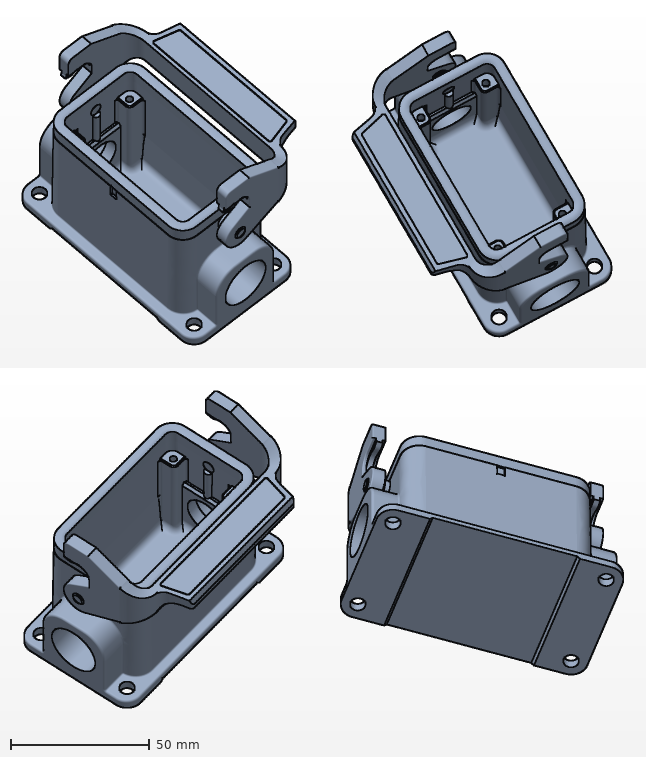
import cadquery as cq
import math

FLANGE_LENGTH = 94.0
FLANGE_WIDTH = 52.0
FLANGE_HEIGHT = 3.95
FLANGE_CORNER_RADIUS = 6.2
EDGE_RADIUS = 0.9
FOOT_RADIUS = 0.7
SCREW_HOLE_DIAMETER = 5.6
RELIEF_LENGTH = 57.3
RELIEF_HEIGHT = 1.0

BODY_LENGTH = 72.4
BODY_WIDTH = 43.0
BODY_CORNER_RADIUS = 7.3
BODY_DRAFT = 0.6
DRAFT_LINE_Z = 47.9
BAND_STEP = 0.1
RIM_TOP_Z = 54.05
RIM_CROWN = 0.6
WALL = 4.0

NOTCH_WIDTH = 3.1
NOTCH_HEIGHT = 5.0
NOTCH_DEPTH = 0.8

BOSS_HALF_WIDTH = 14.4
BOSS_TOP_Z = 31.5
BOSS_CORNER_RADIUS = 10.1
ENTRY_Z = 16.9
ENTRY_DIAMETER = 20.0
ENTRY_BOTTOM_X = 34.8
WALL_HOLE_DIAMETER = 16.0

FLOOR_Z = 4.2
FLOOR_RADIUS = 3.0
CAVITY_DRAFT = 0.5
LOWER_WALL_Z = 21.1
LOWER_WALL_DRAFT = 2.0
CAVITY_LEAN = (DRAFT_LINE_Z - LOWER_WALL_Z) * math.tan(math.radians(CAVITY_DRAFT))
POST_TOP_Z = 42.3
POST_X = 25.4
POST_Y = 10.4
POST_CORNER_RADIUS = 2.1
POST_ROOT_RADIUS = 1.2
POST_CHAMFER = 0.5
POST_HOLE_X = 28.5
POST_HOLE_Y = 13.4
POST_HOLE_DIAMETER = 2.7
POST_HOLE_DEPTH = 7.5
DRILL_TIP_ANGLE = 118.0
LEDGE_X = 29.9
LEDGE_TOP_Z = 28.4
LEDGE_CHAMFER = 1.1
RIB_RADIUS = 1.7

PIVOT_Z = 44.65
COLLAR_DIAMETER = 7.0
COLLAR_END_X = 38.6
COLLAR_CHAMFER = 0.5
PIN_DIAMETER = 5.1
PIN_END_DIAMETER = 4.0
PIN_HEAD = 0.5
PIVOT_HOLE_DIAMETER = 4.8

ARM_INNER_X = 39.2
ARM_OUTER_X = 44.2
ARM_END_RADIUS = 7.0
ARM_TOP_Z = 73.6
ARM_TOP_BACK_Y = 4.4
ARM_FRONT_Y = -7.0
ARM_FRONT_RADIUS = 2.4
ARM_EDGE_RADIUS = 0.5
ARM_BOTTOM_ANGLE = 25.0
SLOT_BACK_Y = 4.7
SLOT_TOP_Z = 64.2
SLOT_RADIUS = 4.6
SLOT_BOTTOM_ANGLE = 31.0
LATCH_WIDTH = 2.4
LATCH_X = 41.55
LATCH_ROOT_Z = 59.2
LATCH_CURVE = [(3.3, 61.8), (0.3, 62.9), (-4.5, 61.5), (-7.3, 62.0)]

BEND_START_Y = 19.1
BEND_INNER_RADIUS = 6.3
BEND_OUTER_RADIUS = 9.7
BEND_STEPS = 6
WEB_INNER_Y = BEND_START_Y + BEND_INNER_RADIUS
WEB_OUTER_Y = BEND_START_Y + BEND_OUTER_RADIUS
WEB_END_X = ARM_INNER_X - BEND_INNER_RADIUS

PLATE_TOP_Z = 61.8
PLATE_TIP_Y = 41.5
PLATE_TIP_BEVEL_Y = 1.2
PLATE_TIP_BEVEL_Z = 2.3
PLATE_BOTTOM_Z = 57.2
PLATE_FLAT_Y = 37.3
PLATE_TIP_X = 30.0
PLATE_ROOT_X = 32.1
PLATE_ROOT_Y = 32.3
PLATE_BLEND_X = 36.7
PLATE_BLEND_Y = 28.5
PLATE_BLEND_RADIUS = 5.2
PLATE_CORNER_RADIUS = 1.4
PANEL_FRONT_Y = 27.2
PANEL_BACK_Y = 38.35
PANEL_FRONT_X = 31.3
PANEL_BACK_X = 28.3
PANEL_CORNER_RADIUS = 0.75
PANEL_DEPTH = 0.4

SIDES = (-1, 1)


def rounded_block(length, width, corner_radius, z, height, draft=0.0):
    """Rounded rectangle centred on the Z axis, extruded from z (down if height is negative)."""
    sketch = cq.Sketch().rect(length, width).vertices().fillet(corner_radius)
    return cq.Workplane("XY").workplane(offset=z).placeSketch(sketch).extrude(height, taper=draft)


def x_cylinder(diameter, side, x_from, x_to, z):
    """Cylinder along X on the given side, centred at y = 0 and height z."""
    plane = cq.Workplane("YZ").workplane(offset=side * x_from).center(0, z)
    return plane.circle(diameter / 2).extrude(side * (x_to - x_from))


def centred_box(half_x, half_y, z_low, z_high):
    """Selector for edges whose centre lies in a box centred on the Z axis."""
    return cq.selectors.BoxSelector((-half_x, -half_y, z_low), (half_x, half_y, z_high))


def end_slab(side):
    """Selector for the edges of one end face that lie above the flange side."""
    end = side * FLANGE_LENGTH / 2
    return cq.selectors.BoxSelector(
        (end - 0.01, -FLANGE_WIDTH, FLANGE_HEIGHT / 2 + 0.9), (end + 0.01, FLANGE_WIDTH, BOSS_TOP_Z + 0.9)
    )


def boss_block():
    """One arch-shaped bar that forms the cable entry bosses on both ends."""
    arch = (
        cq.Workplane("YZ")
        .rect(2 * BOSS_HALF_WIDTH, 2 * BOSS_TOP_Z)
        .extrude(FLANGE_LENGTH / 2, both=True)
        .edges("|X and >Z")
        .fillet(BOSS_CORNER_RADIUS)
    )
    above_ground = cq.Workplane("XY").box(
        FLANGE_LENGTH, FLANGE_WIDTH, BOSS_TOP_Z, centered=(True, True, False)
    )
    return arch.intersect(above_ground)


def outer_shell():
    """Flange, drafted body and bosses with their roundings, still solid inside."""
    flange = rounded_block(FLANGE_LENGTH, FLANGE_WIDTH, FLANGE_CORNER_RADIUS, 0, FLANGE_HEIGHT)
    body = rounded_block(
        BODY_LENGTH, BODY_WIDTH, BODY_CORNER_RADIUS, DRAFT_LINE_Z, -DRAFT_LINE_Z, -BODY_DRAFT
    )
    shell = flange.union(boss_block()).union(body)

    foot = centred_box(44.2, 23.5, FLANGE_HEIGHT - 0.1, FLANGE_HEIGHT + 0.1)
    boss_roots = centred_box(BODY_LENGTH / 2 + 0.9, BOSS_HALF_WIDTH + 0.9, FLANGE_HEIGHT + 0.1, BOSS_TOP_Z + 0.1)
    shell = shell.edges(foot + boss_roots).fillet(FOOT_RADIUS)

    end_outlines = cq.selectors.SumSelector(end_slab(-1), end_slab(1))
    flange_rim = centred_box(FLANGE_LENGTH, FLANGE_WIDTH, FLANGE_HEIGHT - 0.1, FLANGE_HEIGHT + 0.1)
    flange_face = centred_box(FLANGE_LENGTH / 2 - 3.3, FLANGE_WIDTH / 2 - 1.7,
                              FLANGE_HEIGHT - 0.1, FLANGE_HEIGHT + 0.1)
    return shell.edges(end_outlines + (flange_rim - flange_face)).fillet(EDGE_RADIUS)


def band_and_rim():
    """Straight collar above the draft line, closed by a rounded crown all round."""
    length = BODY_LENGTH - 2 * BAND_STEP
    width = BODY_WIDTH - 2 * BAND_STEP
    shoulder_z = RIM_TOP_Z - RIM_CROWN
    band = rounded_block(length, width, BODY_CORNER_RADIUS, DRAFT_LINE_Z, shoulder_z - DRAFT_LINE_Z)

    path_radius = BODY_CORNER_RADIUS - WALL / 2
    path_face = rounded_block(length - WALL, width - WALL, path_radius, shoulder_z, -0.9)
    path = path_face.faces(">Z").wires()
    crown = (
        cq.Workplane("YZ", origin=(0, (width - WALL) / 2, shoulder_z))
        .moveTo(-WALL / 2, 0)
        .threePointArc((0, RIM_CROWN), (WALL / 2, 0))
        .close()
        .sweep(path)
    )
    return band.union(crown)


def drill(diameter, depth, x, y, top_z):
    """Blind hole with a conical drill tip."""
    radius = diameter / 2
    tip = radius / math.tan(math.radians(DRILL_TIP_ANGLE / 2))
    return (
        cq.Workplane("XZ", origin=(x, y, top_z))
        .polyline([(0, 0), (radius, 0), (radius, -depth), (0, -depth - tip)])
        .close()
        .revolve(360, (0, 0), (0, 1))
    )


def in_quadrant(shape, side_x, side_y):
    """Mirror a shape drawn in the +X +Y quadrant into the asked quadrant."""
    if side_x < 0:
        shape = shape.mirror("YZ")
    if side_y < 0:
        shape = shape.mirror("XZ")
    return shape


def post_outline(corner_x, corner_y):
    """Plan outline of one post that reaches past the two walls behind it."""
    return (
        cq.Workplane("XY")
        .moveTo(POST_X, corner_y + 0.9)
        .lineTo(POST_X, POST_Y + POST_CORNER_RADIUS)
        .radiusArc((POST_X + POST_CORNER_RADIUS, POST_Y), -POST_CORNER_RADIUS)
        .lineTo(corner_x + 0.9, POST_Y)
        .lineTo(corner_x + 0.9, corner_y + 0.9)
        .close()
    )


def post_root(wall_x, wall_y, turn):
    """Concave strip in the corner between a post side and the wall."""
    return (
        cq.Workplane("XY")
        .moveTo(wall_x, wall_y)
        .lineTo(wall_x - POST_ROOT_RADIUS, wall_y)
        .radiusArc((wall_x, wall_y - POST_ROOT_RADIUS), POST_ROOT_RADIUS)
        .close()
        .extrude(POST_TOP_Z - POST_CHAMFER)
        .rotate((wall_x, wall_y, 0), (wall_x, wall_y, 1), turn)
    )


def corner_post(corner_x, corner_y):
    """Screw post in one cavity corner, with its roots on the walls and a wide round foot."""
    post = post_outline(corner_x, corner_y).extrude(POST_TOP_Z).faces(">Z").edges().chamfer(POST_CHAMFER)
    post = post.union(post_root(POST_X, corner_y - CAVITY_LEAN, 0))
    post = post.union(post_root(corner_x - CAVITY_LEAN, POST_Y, 0))
    reach = 2 * FLOOR_RADIUS
    plate = cq.Workplane("XY").box(corner_x + 0.9, corner_y + 0.9, FLOOR_Z, centered=False)
    foot = plate.union(post_outline(corner_x, corner_y).extrude(FLOOR_Z + reach))
    foot_edges = cq.selectors.BoxSelector(
        (POST_X - 0.1, POST_Y - 0.1, FLOOR_Z - 0.1), (corner_x + 0.8, corner_y + 0.8, FLOOR_Z + 0.1)
    )
    foot = foot.edges(foot_edges).fillet(FLOOR_RADIUS)
    return post.union(foot)


def end_wall(wall_x, width):
    """Thicker lower part of the +X end wall, with the rib above it and a round foot."""
    ledge = (
        cq.Workplane("XZ")
        .moveTo(LEDGE_X - FLOOR_RADIUS, FLOOR_Z)
        .radiusArc((LEDGE_X, FLOOR_Z + FLOOR_RADIUS), -FLOOR_RADIUS)
        .lineTo(LEDGE_X, LEDGE_TOP_Z - LEDGE_CHAMFER)
        .lineTo(LEDGE_X + LEDGE_CHAMFER, LEDGE_TOP_Z)
        .lineTo(wall_x + 0.9, LEDGE_TOP_Z)
        .lineTo(wall_x + 0.9, FLOOR_Z)
        .close()
        .extrude(width / 2, both=True)
    )
    rib = cq.Workplane("XY").center(wall_x, 0).circle(RIB_RADIUS).extrude(POST_TOP_Z)
    return ledge.union(rib)


def cavity():
    """Space inside the housing, with the posts, ledges and ribs left standing."""
    length = BODY_LENGTH - 2 * BAND_STEP - 2 * WALL
    width = BODY_WIDTH - 2 * BAND_STEP - 2 * WALL
    radius = BODY_CORNER_RADIUS - WALL
    mouth = rounded_block(length, width, radius, DRAFT_LINE_Z, RIM_TOP_Z + 0.9 - DRAFT_LINE_Z)
    upper = rounded_block(length, width, radius, DRAFT_LINE_Z, LOWER_WALL_Z - DRAFT_LINE_Z, CAVITY_DRAFT)
    lower = (
        cq.Workplane("XY")
        .workplane(offset=LOWER_WALL_Z)
        .rect(length - 2 * CAVITY_LEAN, width - 2 * CAVITY_LEAN)
        .extrude(FLOOR_Z - LOWER_WALL_Z, taper=LOWER_WALL_DRAFT)
        .faces("<Z").edges().fillet(FLOOR_RADIUS)
    )
    space = mouth.union(upper).union(lower)
    for side_x in SIDES:
        space = space.cut(in_quadrant(end_wall(length / 2, width), side_x, 1))
        for side_y in SIDES:
            space = space.cut(in_quadrant(corner_post(length / 2, width / 2), side_x, side_y))
    return space


def make_housing():
    """Housing with its pivot collars, cavity, cable entries, screw holes, notch and relief."""
    housing = outer_shell().union(band_and_rim())
    for side in SIDES:
        collar = x_cylinder(COLLAR_DIAMETER, side, BODY_LENGTH / 2 - 0.9, COLLAR_END_X, PIVOT_Z)
        collar = collar.faces("<X" if side < 0 else ">X").chamfer(COLLAR_CHAMFER)
        housing = housing.union(collar)
    housing = housing.cut(cavity())

    for side in SIDES:
        housing = housing.cut(x_cylinder(PIVOT_HOLE_DIAMETER, side, LEDGE_X, COLLAR_END_X, PIVOT_Z))
        housing = housing.cut(x_cylinder(WALL_HOLE_DIAMETER, side, POST_X, FLANGE_LENGTH / 2, ENTRY_Z))
        entry = x_cylinder(ENTRY_DIAMETER, side, ENTRY_BOTTOM_X, FLANGE_LENGTH / 2, ENTRY_Z)
        housing = housing.cut(entry)
        for side_y in SIDES:
            hole = cq.Workplane("XY").center(
                side * (FLANGE_LENGTH / 2 - FLANGE_CORNER_RADIUS),
                side_y * (FLANGE_WIDTH / 2 - FLANGE_CORNER_RADIUS),
            )
            housing = housing.cut(hole.circle(SCREW_HOLE_DIAMETER / 2).extrude(FLANGE_HEIGHT))
            housing = housing.cut(
                drill(POST_HOLE_DIAMETER, POST_HOLE_DEPTH, side * POST_HOLE_X, side_y * POST_HOLE_Y, POST_TOP_Z)
            )

    notch = cq.Workplane("XY").box(NOTCH_WIDTH, 2 * NOTCH_DEPTH, NOTCH_HEIGHT).translate(
        (0, -BODY_WIDTH / 2, DRAFT_LINE_Z - NOTCH_HEIGHT / 2)
    )
    relief = (
        cq.Workplane("XZ")
        .polyline([
            (-RELIEF_LENGTH / 2, 0),
            (RELIEF_LENGTH / 2, 0),
            (RELIEF_LENGTH / 2 - RELIEF_HEIGHT, RELIEF_HEIGHT),
            (-RELIEF_LENGTH / 2 + RELIEF_HEIGHT, RELIEF_HEIGHT),
        ])
        .close()
        .extrude(FLANGE_WIDTH, both=True)
    )
    return housing.cut(notch).cut(relief)


def bottom_line_z(y):
    """Height of the sloping underside of the arm, tangent to its round end."""
    angle = math.radians(ARM_BOTTOM_ANGLE)
    return PIVOT_Z - ARM_END_RADIUS / math.cos(angle) + y * math.tan(angle)


def top_line_z(y):
    """Height of the sloping top of the arm, from its top corner down to the web."""
    slope = (PLATE_TOP_Z - ARM_TOP_Z) / (WEB_OUTER_Y - ARM_TOP_BACK_Y)
    return ARM_TOP_Z + slope * (y - ARM_TOP_BACK_Y)


def slot_line_z(y):
    """Height of the sloping lower side of the latch slot, tangent to the round end."""
    angle = math.radians(SLOT_BOTTOM_ANGLE)
    return PIVOT_Z + ARM_END_RADIUS / math.cos(angle) + y * math.tan(angle)


def on_arm_end(angle):
    """Point (y, z) on the round end of the arm."""
    radians = math.radians(angle)
    return (ARM_END_RADIUS * math.cos(radians), PIVOT_Z + ARM_END_RADIUS * math.sin(radians))


def make_arm():
    """Flat +X arm with the latch slot, the round pivot end and a rounded outer edge."""
    slot_arc_z = SLOT_TOP_Z - SLOT_RADIUS
    arm = (
        cq.Workplane("YZ")
        .workplane(offset=ARM_INNER_X)
        .moveTo(BEND_START_Y, top_line_z(BEND_START_Y))
        .lineTo(ARM_TOP_BACK_Y, ARM_TOP_Z)
        .lineTo(ARM_FRONT_Y + ARM_FRONT_RADIUS, ARM_TOP_Z)
        .radiusArc((ARM_FRONT_Y, ARM_TOP_Z - ARM_FRONT_RADIUS), -ARM_FRONT_RADIUS)
        .lineTo(ARM_FRONT_Y, SLOT_TOP_Z)
        .lineTo(SLOT_BACK_Y - SLOT_RADIUS, SLOT_TOP_Z)
        .radiusArc((SLOT_BACK_Y, slot_arc_z), SLOT_RADIUS)
        .lineTo(SLOT_BACK_Y, slot_line_z(SLOT_BACK_Y))
        .lineTo(*on_arm_end(90 + SLOT_BOTTOM_ANGLE))
        .threePointArc(on_arm_end(195), on_arm_end(270 + ARM_BOTTOM_ANGLE))
        .lineTo(BEND_START_Y, bottom_line_z(BEND_START_Y))
        .close()
        .extrude(ARM_OUTER_X - ARM_INNER_X)
    )
    outer_face = ARM_OUTER_X - 0.01
    outline = cq.selectors.BoxSelector(
        (outer_face, ARM_FRONT_Y - 0.9, 0), (ARM_OUTER_X + 0.9, BEND_START_Y - 0.1, ARM_TOP_Z + 0.9)
    )
    return arm.edges(outline).fillet(ARM_EDGE_RADIUS)


def make_latch():
    """Narrow nose under the top of the slot that snaps over a locking pin."""
    top_z = SLOT_TOP_Z + 0.9
    return (
        cq.Workplane("YZ")
        .workplane(offset=LATCH_X - LATCH_WIDTH / 2)
        .moveTo(SLOT_BACK_Y + 0.9, top_z)
        .lineTo(SLOT_BACK_Y + 0.9, LATCH_ROOT_Z)
        .lineTo(SLOT_BACK_Y, LATCH_ROOT_Z)
        .threePointArc(LATCH_CURVE[0], LATCH_CURVE[1])
        .spline(LATCH_CURVE[2:], tangents=[(-1, 0), (-1, 0.2)], includeCurrent=True)
        .lineTo(ARM_FRONT_Y, SLOT_TOP_Z - 0.9)
        .lineTo(ARM_FRONT_Y, top_z)
        .close()
        .extrude(LATCH_WIDTH)
    )


def bend_section(angle):
    """Upright cross-section of the +X bend, turned about the bend centre."""
    radians = math.radians(angle)
    across = cq.Vector(math.cos(radians), math.sin(radians), 0)
    outer_centre_x = ARM_OUTER_X - BEND_OUTER_RADIUS
    inner = cq.Vector(WEB_END_X, BEND_START_Y, 0) + across * BEND_INNER_RADIUS
    outer = cq.Vector(outer_centre_x, BEND_START_Y, 0) + across * BEND_OUTER_RADIUS
    low = cq.Vector(0, 0, bottom_line_z(outer.y))
    high = cq.Vector(0, 0, top_line_z(outer.y))
    return cq.Wire.makePolygon([inner + low, outer + low, outer + high, inner + high], close=True)


def make_bend():
    """Quarter turn from the +X arm into the back web, level across its thickness."""
    sections = [bend_section(90 * step / BEND_STEPS) for step in range(BEND_STEPS + 1)]
    return cq.Workplane(cq.Solid.makeLoft(sections))


def plate_plan():
    """Web and finger plate seen from above, as a tall block."""
    plan = (
        cq.Workplane("XY")
        .moveTo(-PLATE_BLEND_X, WEB_INNER_Y)
        .lineTo(PLATE_BLEND_X, WEB_INNER_Y)
        .lineTo(PLATE_BLEND_X, PLATE_BLEND_Y)
        .radiusArc((PLATE_ROOT_X, PLATE_ROOT_Y), PLATE_BLEND_RADIUS)
        .lineTo(PLATE_TIP_X, PLATE_TIP_Y)
        .lineTo(-PLATE_TIP_X, PLATE_TIP_Y)
        .lineTo(-PLATE_ROOT_X, PLATE_ROOT_Y)
        .radiusArc((-PLATE_BLEND_X, PLATE_BLEND_Y), PLATE_BLEND_RADIUS)
        .close()
        .extrude(ARM_TOP_Z)
    )
    tip_corners = cq.selectors.BoxSelector(
        (-PLATE_ROOT_X, PLATE_TIP_Y - 0.1, 0), (PLATE_ROOT_X, PLATE_TIP_Y + 0.1, ARM_TOP_Z)
    )
    return plan.edges("|Z").edges(tip_corners).fillet(PLATE_CORNER_RADIUS)


def make_web_and_plate():
    """Back web with the bevelled finger plate and its shallow panel."""
    web_bottom_z = bottom_line_z(WEB_OUTER_Y)
    drop = PLATE_BOTTOM_Z - web_bottom_z
    reach = PLATE_FLAT_Y - WEB_OUTER_Y
    underside_radius = (reach**2 + drop**2) / (2 * drop)
    side = (
        cq.Workplane("YZ")
        .moveTo(WEB_INNER_Y, PLATE_TOP_Z)
        .lineTo(PLATE_TIP_Y - PLATE_TIP_BEVEL_Y, PLATE_TOP_Z)
        .lineTo(PLATE_TIP_Y, PLATE_TOP_Z - PLATE_TIP_BEVEL_Z)
        .lineTo(PLATE_TIP_Y, PLATE_BOTTOM_Z)
        .lineTo(PLATE_FLAT_Y, PLATE_BOTTOM_Z)
        .radiusArc((WEB_OUTER_Y, web_bottom_z), -underside_radius)
        .lineTo(WEB_INNER_Y, web_bottom_z)
        .close()
        .extrude(ARM_OUTER_X, both=True)
    )
    panel = (
        cq.Workplane("XY")
        .workplane(offset=PLATE_TOP_Z - PANEL_DEPTH)
        .polyline([
            (-PANEL_FRONT_X, PANEL_FRONT_Y),
            (PANEL_FRONT_X, PANEL_FRONT_Y),
            (PANEL_BACK_X, PANEL_BACK_Y),
            (-PANEL_BACK_X, PANEL_BACK_Y),
        ])
        .close()
        .extrude(2 * PANEL_DEPTH)
        .edges("|Z")
        .fillet(PANEL_CORNER_RADIUS)
    )
    return plate_plan().intersect(side).cut(panel)


def make_pivot_pin():
    """+X pivot pin with a tapered outer end, reaching through the housing wall."""
    wall_inner_x = BODY_LENGTH / 2 - BAND_STEP - WALL
    shank = x_cylinder(PIVOT_HOLE_DIAMETER, 1, wall_inner_x, COLLAR_END_X, PIVOT_Z)
    head_end_x = ARM_OUTER_X + PIN_HEAD
    head = x_cylinder(PIN_DIAMETER, 1, COLLAR_END_X, head_end_x, PIVOT_Z)
    head = head.faces(">X").chamfer(PIN_HEAD, (PIN_DIAMETER - PIN_END_DIAMETER) / 2)
    return shank.union(head)


def make_lever():
    """One-piece locking lever: two arms with pins, two bends, web and finger plate."""
    half = make_arm().union(make_latch()).union(make_bend()).union(make_pivot_pin())
    return make_web_and_plate().union(half).union(half.mirror("YZ"))


housing = make_housing()
lever = make_lever()
result = cq.Compound.makeCompound([housing.val(), lever.val()])